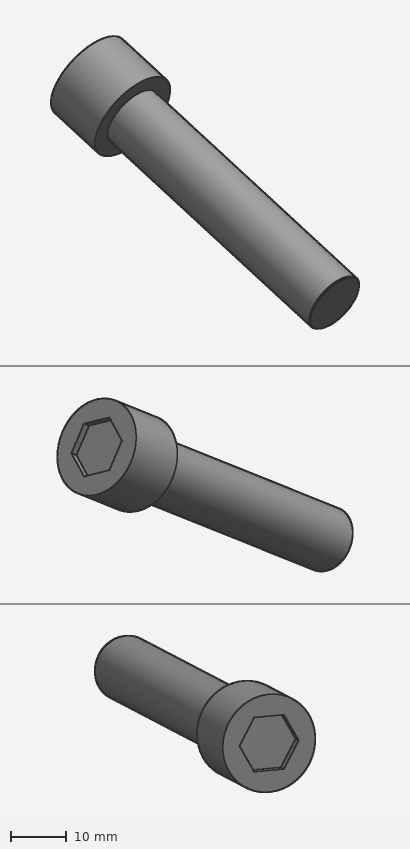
import cadquery as cq
import math

total_length = 67.0
shank_diameter = 12.0
head_diameter = 18.0
head_length = shank_diameter
tip_chamfer = 0.2
socket_across_flats = 10.0
socket_depth = 1.5

socket_across_corners = socket_across_flats / math.cos(math.radians(30))


def make_head():
    return cq.Workplane("YZ").circle(head_diameter / 2).extrude(head_length)


def make_shank():
    shank = cq.Workplane("YZ").circle(shank_diameter / 2).extrude(total_length)
    return shank.faces(">X").chamfer(tip_chamfer)


def make_socket():
    return cq.Workplane("YZ").polygon(6, socket_across_corners).extrude(socket_depth)


result = make_head().union(make_shank()).cut(make_socket())